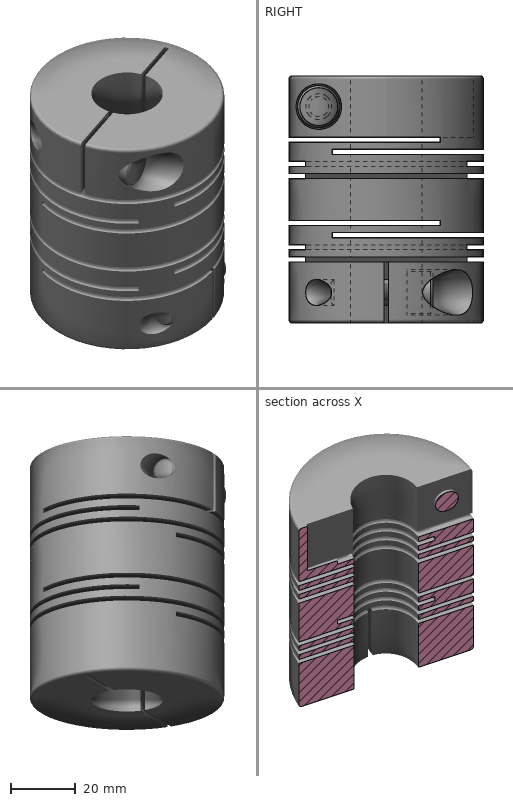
import cadquery as cq

LENGTH = 76.2
OUTER_DIAMETER = 60.0
BORE_DIAMETER = 22.0
EDGE_RADIUS = 1.0

SLOT_WIDTH = 1.5
SLOT_PITCH = 3.7
HUB_LENGTH = 18.9
WEB_OFFSET = 16.6
SLOT_DIRECTIONS = (-90, 90, 180, 0)

SLIT_WIDTH = 1.5
SLIT_BLIND_END = 27.0

SCREW_OFFSET = 20.8
SCREW_DIAMETER = 8.0
SCREW_CHAMFER = 0.9
HEAD_DIAMETER = 13.0
COUNTERBORE_DIAMETER = 14.0
HEAD_LENGTH = 8.0
HEAD_CHAMFER = 0.7
HEAD_END = 14.4
SHANK_END = 17.1

outer_radius = OUTER_DIAMETER / 2
screw_height = LENGTH - HUB_LENGTH / 2
head_seat = HEAD_END - HEAD_LENGTH
stack_length = (len(SLOT_DIRECTIONS) - 1) * SLOT_PITCH + SLOT_WIDTH
stack_tops = (LENGTH - HUB_LENGTH, HUB_LENGTH + stack_length)


def make_body():
    """Plain tube with rounded outer rims."""
    cylinder = cq.Workplane("XY").circle(outer_radius).extrude(LENGTH).edges().fillet(EDGE_RADIUS)
    return cylinder.cut(cq.Workplane("XY").circle(BORE_DIAMETER / 2).extrude(LENGTH))


def flexure_slot(top, direction):
    """Slot open towards the given direction, stopping at the web on the opposite side."""
    slot = cq.Workplane("XY").box(
        WEB_OFFSET + OUTER_DIAMETER, OUTER_DIAMETER, SLOT_WIDTH, centered=(False, True, False)
    )
    slot = slot.translate((-WEB_OFFSET, 0, top - SLOT_WIDTH))
    return slot.rotate((0, 0, 0), (0, 0, 1), direction)


def x_cylinder(diameter, start, end):
    """Cylinder on the screw axis of the top hub, from x = start to x = end."""
    plane = cq.Workplane("YZ", origin=(start, -SCREW_OFFSET, screw_height))
    return plane.circle(diameter / 2).extrude(end - start)


def clamp_cut():
    """Slit, screw hole and counterbore of the top hub; the slit opens at -Y."""
    slit = cq.Workplane("XY").box(
        SLIT_WIDTH, SLIT_BLIND_END + OUTER_DIAMETER, HUB_LENGTH, centered=(True, False, False)
    )
    slit = slit.translate((0, -OUTER_DIAMETER, LENGTH - HUB_LENGTH))
    hole = x_cylinder(SCREW_DIAMETER, -OUTER_DIAMETER, head_seat)
    counterbore = x_cylinder(COUNTERBORE_DIAMETER, head_seat, OUTER_DIAMETER)
    return slit.union(hole).union(counterbore)


def clamp_screw():
    """Screw of the top hub, with its head towards +X."""
    head = x_cylinder(HEAD_DIAMETER, head_seat, HEAD_END)
    head = head.faces(">X").chamfer(HEAD_CHAMFER)
    shank = x_cylinder(SCREW_DIAMETER, -SHANK_END, head_seat)
    shank = shank.faces("<X").chamfer(SCREW_CHAMFER)
    return head.union(shank)


def to_bottom_hub(feature):
    """Mirror a top hub feature to the bottom hub and turn it a quarter turn about the axis."""
    mirrored = feature.mirror("XY", (0, 0, LENGTH / 2))
    return mirrored.rotate((0, 0, 0), (0, 0, 1), 90)


result = make_body()

for stack_top in stack_tops:
    for level, direction in enumerate(SLOT_DIRECTIONS):
        result = result.cut(flexure_slot(stack_top - level * SLOT_PITCH, direction))

result = result.cut(clamp_cut()).cut(to_bottom_hub(clamp_cut()))
result = result.union(clamp_screw()).union(to_bottom_hub(clamp_screw()))